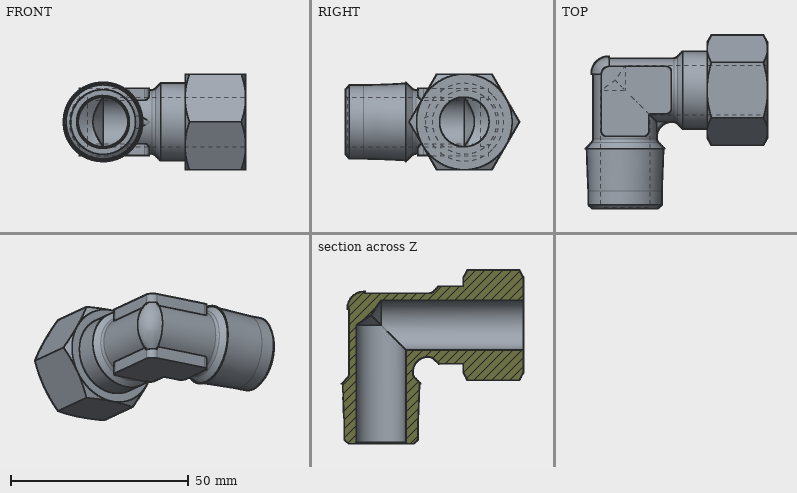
import cadquery as cq
import math


body_radius = 9.05
flare_start = 14.3
flare_blend_radius = 1.4

collar_start = 16.25
collar_radius = 11.0
nut_start = 23.15
nut_end = 40.2
nut_across_flats = 27.0
nut_chamfer_angle = 30

shoulder_start = 16.55
shoulder_radius = 11.2
spigot_root_radius = 10.9
spigot_land_start = 28.45
spigot_land_radius = 10.45
spigot_tip_start = 32.4
spigot_tip_radius = 9.15
spigot_end = 33.55

bore_radius = 7.0
bore_point_depth = 4.85
bore_chamfer = 0.45

pad_half_height = 9.5
pad_outer = 6.7
pad_reach = 13.05
pad_corner_radius = 1.5
pad_inner_radius = 0.6

heel_radius = 9.6
heel_pivot = 4.55
pad_heel_radius = pad_outer - heel_pivot

web_arc_radius = 4.0
web_tube_radius = 1.8
web_pivot = body_radius + web_arc_radius


def turned_along_x(profile):
    """Revolve (position, radius) points about the X axis, closing the profile on the axis."""
    points = profile + [(profile[-1][0], 0)]
    if profile[0][1] > 0:
        points.append((profile[0][0], 0))
    return cq.Workplane("XY").polyline(points).close().revolve(360, (0, 0, 0), (1, 0, 0))


def onto_minus_y(shape):
    """Turn a shape built along +X so that it runs along -Y."""
    return shape.rotate((0, 0, 0), (0, 0, 1), -90)


def flared_arm(fitting_end):
    """Plain arm from the heel past the crossing of the axes, blended into its flared end along +X."""
    plain_arm = [(-heel_pivot, body_radius), (flare_start, body_radius)]
    arm = turned_along_x(plain_arm + fitting_end)
    flare_edge = arm.edges(cq.selectors.NearestToPointSelector((flare_start, 0, 0)))
    return flare_edge.fillet(flare_blend_radius)


def nut_arm():
    return flared_arm([(collar_start, collar_radius), (nut_start, collar_radius)])


def spigot_arm():
    arm = flared_arm([
        (shoulder_start, shoulder_radius),
        (shoulder_start, spigot_root_radius),
        (spigot_land_start, spigot_land_radius),
        (spigot_tip_start, spigot_land_radius),
        (spigot_end, spigot_tip_radius),
    ])
    return onto_minus_y(arm)


def hexagon_nut():
    """Hexagon with flats on top and bottom, both end faces chamfered to the inscribed circle."""
    flat_radius = nut_across_flats / 2
    corner_radius = flat_radius / math.cos(math.pi / 6)
    chamfer_length = (corner_radius - flat_radius) * math.tan(math.radians(nut_chamfer_angle))
    hexagon = (
        cq.Workplane("YZ", origin=(nut_start, 0, 0))
        .polygon(6, 2 * corner_radius)
        .extrude(nut_end - nut_start)
    )
    envelope = turned_along_x([
        (nut_start, flat_radius),
        (nut_start + chamfer_length, corner_radius),
        (nut_end - chamfer_length, corner_radius),
        (nut_end, flat_radius),
    ])
    return hexagon.intersect(envelope)


def heel():
    """Slice of a round bar beyond the pivot, swung a quarter turn around the outside of the bend."""
    slice_half_height = math.sqrt(heel_radius**2 - heel_pivot**2)
    return (
        cq.Workplane("XZ", origin=(0, heel_pivot, 0))
        .moveTo(-heel_pivot, -slice_half_height)
        .threePointArc((-heel_radius, 0), (-heel_pivot, slice_half_height))
        .close()
        .revolve(90, (-heel_pivot, 0.5, 0), (-heel_pivot, 0, 0))
    )


def web():
    """Round bead swung a quarter turn around the inside of the bend."""
    bead_center = body_radius - web_tube_radius
    return (
        cq.Workplane("XZ", origin=(0, -web_pivot, 0))
        .center(bead_center, 0)
        .circle(web_tube_radius)
        .revolve(90, (web_pivot - bead_center, 0.5, 0), (web_pivot - bead_center, 0, 0))
    )


def pads():
    """L-shaped block whose top and bottom stand out of the elbow as flat pads."""
    outline = [
        (-pad_outer, pad_outer),
        (pad_reach, pad_outer),
        (pad_reach, -pad_outer),
        (pad_outer, -pad_outer),
        (pad_outer, -pad_reach),
        (-pad_outer, -pad_reach),
    ]
    corner_radii = [
        pad_heel_radius,
        pad_corner_radius,
        pad_corner_radius,
        pad_inner_radius,
        pad_corner_radius,
        pad_corner_radius,
    ]
    block = cq.Workplane("XY").polyline(outline).close().extrude(pad_half_height, both=True)
    for (x, y), radius in zip(outline, corner_radii):
        corner_edge = block.edges(cq.selectors.NearestToPointSelector((x, y, 0)))
        block = corner_edge.fillet(radius)
    return block


def bore_profile(mouth):
    """Drilled hole with a conical point, opening at the given distance from the crossing."""
    return [(-bore_point_depth, 0), (0, bore_radius), (mouth, bore_radius)]


def bores():
    nut_bore = turned_along_x(bore_profile(nut_end))
    chamfer_start = spigot_end - bore_chamfer
    spigot_profile = bore_profile(chamfer_start) + [(spigot_end, bore_radius + bore_chamfer)]
    spigot_bore = onto_minus_y(turned_along_x(spigot_profile))
    return nut_bore.union(spigot_bore)


result = (
    nut_arm()
    .union(spigot_arm())
    .union(heel())
    .union(web())
    .union(pads())
    .union(hexagon_nut())
    .cut(bores())
)